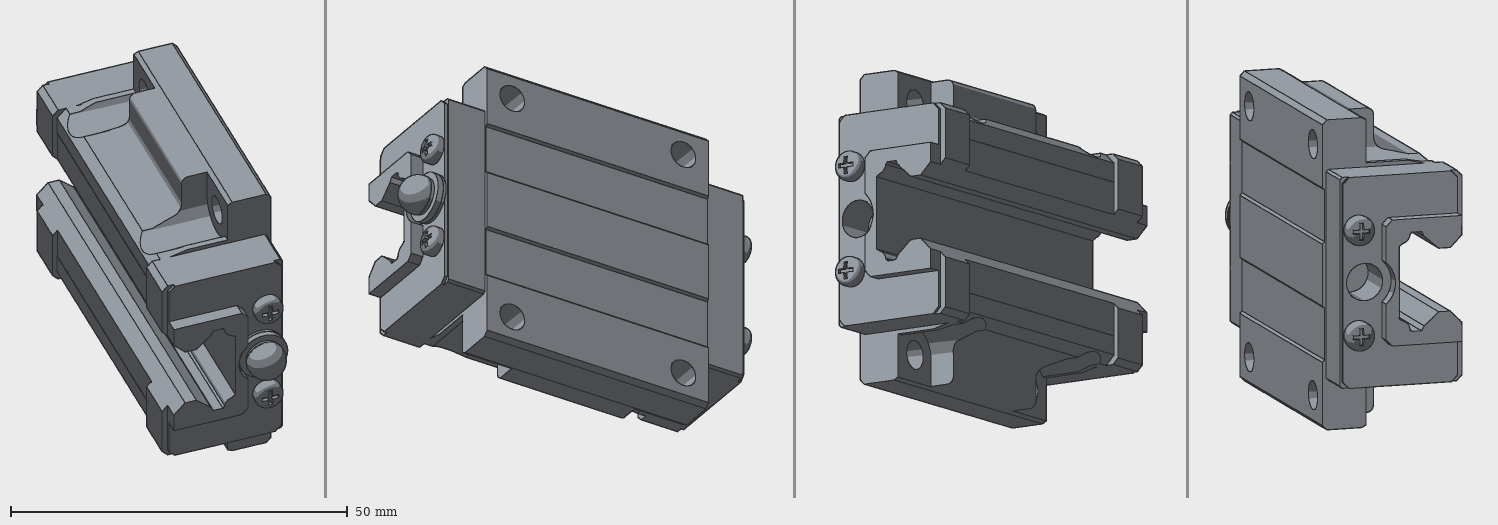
import cadquery as cq
import math


overall_length = 60.1
block_half_length = 19.4
plate_half_length = 26.25
plate_step = 0.5
lip_half_length = 28.3

flange_half_width = 23.5
flange_chamfer = 0.7
flange_thickness = 6.85
flange_edge_start = 6.15
flange_edge_end = 6.5
flange_edge_drop = 0.2
rib_root_depth = 7.3
rib_root_middle = (6.85, 23.15)
rib_half_width = 23.1
rib_depth = 10.9
rib_round = 1.1
web_round = 1.75
web_half_width = 17.1
body_half_width = 16.0
web_end_depth = 15.9
block_depth = 19.05
block_chamfer = 1.45
foot_ledge_half_width = 11.65
foot_ledge_step = 0.05
relief_depth = 0.35
relief_inner = 4.7
relief_outer = 13.2

hole_pitch_x = 30.0
hole_pitch_z = 38.05
hole_diameter = 4.3
clearance_radius = 4.2
clearance_ledge_half_width = 16.6

channel_floor = (9.1, 5.45)
bulge_start = (9.7, 5.9)
bulge_middle = (10.5, 6.5)
bulge_end = (10.75, 7.15)
groove_start = (11.05, 7.5)
groove_end = (12.55, 7.5)
groove_corner = (13.0, 6.8)
mouth_start = (15.25, 4.8)
mouth_end = (17.05, 4.8)

cap_back = 0.6
cap_depth = 19.8
cap_back_chamfer = 0.35
cap_front_chamfer = 0.9
plate_back = cap_back + cap_back_chamfer
plate_depth = cap_depth - cap_front_chamfer
plate_corner_chamfer = 0.95

lip_back = 7.05
lip_half_width = 9.55
lip_chamfer = 0.95
lip_port_clearance_radius = 4.15

port_depth = 4.3
port_radius = 2.8
port_length = plate_half_length - block_half_length
collar_radius = 3.8
collar_length = 0.5
flange_radius = 3.85
flange_end = 27.7
nipple_radius = 3.0
nipple_tip = overall_length - lip_half_length

screw_depth = 3.3
screw_half_spacing = 8.0
head_radius = 2.2
head_rim_length = 0.8
head_face_radius = 1.65
head_face_length = 1.7
head_length = 1.85
cross_span = 2.6
cross_width = 0.6
cross_depth = 0.7

through = 120.2


def symmetric_bar(half_points, arc_middle, half_length):
    """Extrude along X a section given by one half of it and mirrored about the mid-plane.

    The point arc_middle, if any, lies on an arc that joins the points before and after it.
    """
    loop = half_points + [(depth, -half) for depth, half in reversed(half_points)]
    arc_middles = [arc_middle, (arc_middle[0], -arc_middle[1])] if arc_middle else []
    places = [(-depth, half) for depth, half in loop]
    outline = cq.Workplane("YZ").moveTo(*places[0])
    for index in range(1, len(loop)):
        if loop[index] in arc_middles:
            continue
        if loop[index - 1] in arc_middles:
            outline = outline.threePointArc(places[index - 1], places[index])
        else:
            outline = outline.lineTo(*places[index])
    return outline.close().extrude(half_length, both=True)


def without_block_length(bar):
    """Keep only the parts of a bar that stand beyond the ends of the block."""
    middle = cq.Workplane("XY").box(2 * block_half_length, through, through)
    return bar.cut(middle)


def box(x_range, depth_range, z_range):
    """Box between limits along X, in depth and along Z."""
    corner = (x_range[0], -depth_range[1], z_range[0])
    size = (x_range[1] - x_range[0], depth_range[1] - depth_range[0], z_range[1] - z_range[0])
    return cq.Workplane("XY").box(*size, centered=False).translate(corner)


def x_cylinder(radius, x_start, length, depth):
    """Cylinder on the mid-plane, along +X from x_start."""
    return cq.Workplane("YZ", origin=(x_start, -depth, 0)).circle(radius).extrude(length)


def y_cylinder(radius, x, z, depth_start, depth_end):
    """Cylinder along the depth direction."""
    plane = cq.Workplane("XZ", origin=(x, -depth_start, z))
    return plane.circle(radius).extrude(depth_end - depth_start)


def make_block():
    """Flanged block with a shallow relief on either side of the middle of its mounting face."""
    half = [
        (0, relief_inner),
        (relief_depth, relief_inner + relief_depth),
        (relief_depth, relief_outer - relief_depth),
        (0, relief_outer),
        (0, flange_half_width - flange_chamfer),
        (flange_chamfer, flange_half_width),
        (flange_edge_start, flange_half_width),
        (flange_edge_end, flange_half_width - flange_edge_drop),
        rib_root_middle,
        (rib_root_depth, rib_half_width),
        (rib_depth, rib_half_width),
        (rib_depth, web_half_width),
        (web_end_depth, body_half_width),
        (block_depth - block_chamfer, body_half_width),
        (block_depth, body_half_width - block_chamfer),
        (block_depth, foot_ledge_half_width),
        (block_depth - foot_ledge_step, foot_ledge_half_width),
    ]
    block = symmetric_bar(half, rib_root_middle, block_half_length)
    for z_side in (-1, 1):
        for half_width, radius in ((rib_half_width, rib_round), (web_half_width, web_round)):
            corner = cq.selectors.NearestToPointSelector((0, -rib_depth, z_side * half_width))
            block = block.edges(corner).fillet(radius)
    return block


def make_hole_cuts():
    """Fixing holes, and the room for a screw head below each of them."""
    cuts = []
    for x_side in (-1, 1):
        for z_side in (-1, 1):
            x = x_side * hole_pitch_x / 2
            z = z_side * hole_pitch_z / 2
            end = x_side * block_half_length
            inner = x - x_side * clearance_radius
            depths = (flange_thickness, cap_depth)
            outer_z = sorted((z, z_side * through))
            ledge_z = sorted((z_side * clearance_ledge_half_width, z))
            cuts.append(box(sorted((end, inner)), depths, outer_z))
            cuts.append(box(sorted((end, x)), depths, ledge_z))
            cuts.append(y_cylinder(clearance_radius, x, z, *depths))
            cuts.append(y_cylinder(hole_diameter / 2, x, z, 0, cap_depth))
    return cuts


def make_caps():
    """Both end caps with their stepped end plates, as one bar through the block."""
    cap_half = [
        (cap_back, body_half_width - cap_back_chamfer),
        (cap_back + cap_back_chamfer, body_half_width),
        (cap_depth - cap_front_chamfer, body_half_width),
        (cap_depth, body_half_width - cap_front_chamfer),
    ]
    plate_half = [
        (plate_back, body_half_width - plate_corner_chamfer),
        (plate_back + plate_corner_chamfer, body_half_width),
        (plate_depth - plate_corner_chamfer, body_half_width),
        (plate_depth, body_half_width - plate_corner_chamfer),
    ]
    caps = symmetric_bar(cap_half, None, plate_half_length - plate_step)
    caps = caps.union(symmetric_bar(plate_half, None, plate_half_length))
    return without_block_length(caps)


def make_lips():
    """Raised seal lips around the rail channel, notched around the grease ports."""
    half = [
        (lip_back, lip_half_width - lip_chamfer),
        (lip_back + lip_chamfer, lip_half_width),
        (plate_depth, lip_half_width),
    ]
    lips = symmetric_bar(half, None, lip_half_length)
    lips = lips.cut(x_cylinder(lip_port_clearance_radius, -through / 2, through, port_depth))
    return without_block_length(lips)


def make_channel():
    """Rail channel with a rounded bulge and a groove on each side, and a flared mouth."""
    flare_end = (cap_depth, mouth_end[1] + cap_depth - mouth_end[0])
    half = [
        channel_floor,
        bulge_start,
        bulge_middle,
        bulge_end,
        groove_start,
        groove_end,
        groove_corner,
        mouth_start,
        mouth_end,
        flare_end,
    ]
    return symmetric_bar(half, bulge_middle, through / 2)


def make_carriage():
    """Block, end caps and seal lips as one body, with the rail channel and grease ports cut."""
    block = make_block()
    for cut in make_hole_cuts():
        block = block.cut(cut)
    carriage = block.union(make_caps()).union(make_lips()).cut(make_channel())
    for x_start in (-plate_half_length, block_half_length):
        carriage = carriage.cut(x_cylinder(port_radius, x_start, port_length, port_depth))
    return carriage


def make_nipple():
    """Grease nipple: shank in the port, stepped flange and a domed end."""
    dome_start = nipple_tip - nipple_radius
    diagonal = nipple_radius * math.sqrt(0.5)
    profile = (
        cq.Workplane("XY")
        .moveTo(block_half_length, 0)
        .lineTo(block_half_length, port_radius)
        .lineTo(plate_half_length, port_radius)
        .lineTo(plate_half_length, collar_radius)
        .lineTo(plate_half_length + collar_length, collar_radius)
        .lineTo(plate_half_length + collar_length, flange_radius)
        .lineTo(flange_end, flange_radius)
        .lineTo(flange_end, port_radius)
        .lineTo(lip_half_length, port_radius)
        .lineTo(lip_half_length, nipple_radius)
        .lineTo(dome_start, nipple_radius)
        .threePointArc((dome_start + diagonal, diagonal), (nipple_tip, 0))
        .close()
    )
    return profile.revolve(360, (0, 0, 0), (1, 0, 0)).translate((0, -port_depth, 0))


def make_screw(x_side, z_side):
    """Screw head with a domed face and a cross recess, seated on an end plate."""
    diagonal = math.sqrt(0.5)
    round_middle = (
        head_rim_length + (head_face_length - head_rim_length) * diagonal,
        head_face_radius + (head_radius - head_face_radius) * diagonal,
    )
    head = (
        cq.Workplane("XY")
        .lineTo(0, head_radius)
        .lineTo(head_rim_length, head_radius)
        .threePointArc(round_middle, (head_face_length, head_face_radius))
        .lineTo(head_length, 0)
        .close()
        .revolve(360, (0, 0, 0), (1, 0, 0))
    )
    recess = cq.Workplane("YZ", origin=(head_length - cross_depth, 0, 0))
    head = head.cut(recess.rect(cross_span, cross_width).extrude(cross_depth))
    head = head.cut(recess.rect(cross_width, cross_span).extrude(cross_depth))
    if x_side < 0:
        head = head.mirror("YZ")
    return head.translate((x_side * plate_half_length, -screw_depth, z_side * screw_half_spacing))


carriage = make_carriage()
nipple = make_nipple()
screws = [make_screw(x_side, z_side) for x_side in (-1, 1) for z_side in (-1, 1)]

result = cq.Compound.makeCompound([carriage.val(), nipple.val(), *[screw.val() for screw in screws]])